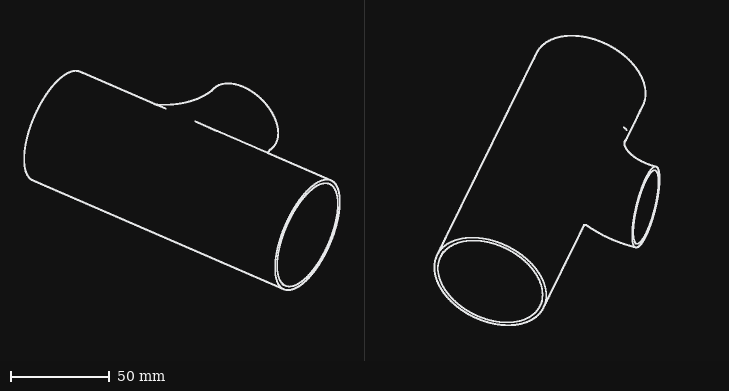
import cadquery as cq

run_length = 152.0
run_outer_diameter = 60.3
wall = 2.0
run_outer_radius = run_outer_diameter / 2
run_inner_radius = run_outer_radius - wall

total_width = 87.09
branch_outer_diameter = 42.4
branch_outer_radius = branch_outer_diameter / 2
branch_inner_radius = branch_outer_radius - wall
branch_end_y = total_width - run_outer_radius
bend_radius = 48.0
bend_angle = 90.0

weld_radius = 0.8


def run_cylinder(radius):
    """Solid cylinder along the full length of the run pipe."""
    return cq.Workplane("YZ").circle(radius).extrude(run_length / 2, both=True)


def elbow(radius):
    """Solid quarter bend starting at the open branch end, midway along the run pipe."""
    branch_end = cq.Workplane("XZ", origin=(0, branch_end_y, 0)).circle(radius)
    return branch_end.revolve(bend_angle, (-bend_radius, 0), (-bend_radius, -1))


def outer_body():
    """Run pipe and elbow as solid bars, with the weld fillet along their seam."""
    bars = run_cylinder(run_outer_radius).union(elbow(branch_outer_radius))
    return bars.edges("%BSPLINE").fillet(weld_radius)


hollow_body = outer_body().cut(run_cylinder(run_inner_radius)).cut(elbow(branch_inner_radius))
result = cq.Workplane(hollow_body.solids().val())